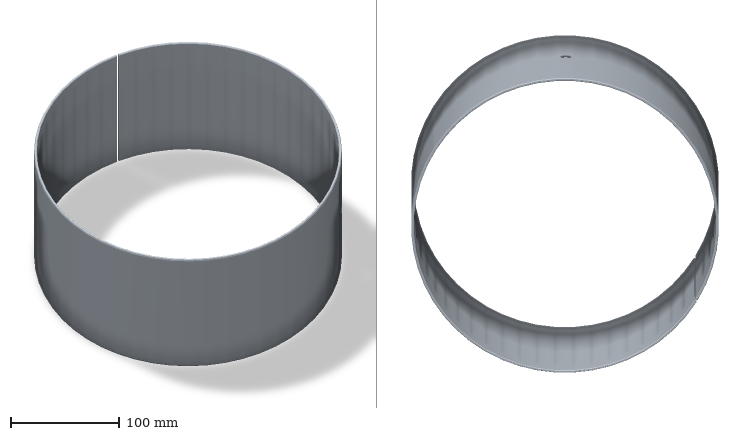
import cadquery as cq

outer_diameter = 285.0
height = 140.0
wall = 2.5
outer_bevel_height = 1.5
outer_bevel_depth = 0.5
inner_chamfer = 0.5
outer_radius = outer_diameter / 2
inner_radius = outer_radius - wall

seam_width = 2.3
seam_center_y = seam_width / 2

vent_diameter = 10.0
vent_angle = 59.0


def make_shell():
    """Revolve the wall section: steep bevels outside, small chamfers inside."""
    top = height / 2
    outer_shoulder = top - outer_bevel_height
    inner_shoulder = top - inner_chamfer
    section = [
        (inner_radius, -inner_shoulder),
        (inner_radius + inner_chamfer, -top),
        (outer_radius - outer_bevel_depth, -top),
        (outer_radius, -outer_shoulder),
        (outer_radius, outer_shoulder),
        (outer_radius - outer_bevel_depth, top),
        (inner_radius + inner_chamfer, top),
        (inner_radius, inner_shoulder),
    ]
    return cq.Workplane("XZ").polyline(section).close().revolve(360, (0, 0, 0), (0, 1, 0))


def make_seam_cutter():
    """Block crossing only the -X wall."""
    block = cq.Workplane("XY").box(outer_radius, seam_width, height)
    return block.translate((-outer_radius, seam_center_y, 0))


def make_vent_cutter():
    """Pin pointing outward from the axis, turned to the vent's place."""
    pin = cq.Workplane("YZ").circle(vent_diameter / 2).extrude(outer_diameter)
    return pin.rotate((0, 0, 0), (0, 0, 1), vent_angle)


result = make_shell().cut(make_seam_cutter()).cut(make_vent_cutter())